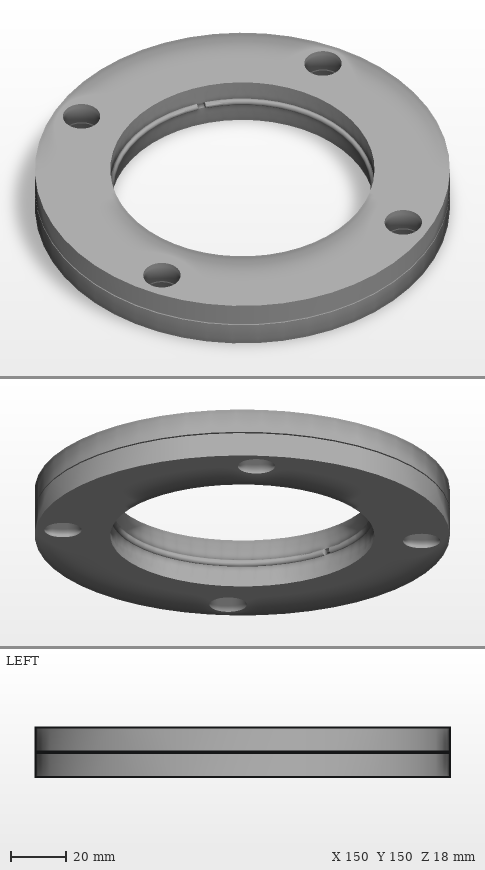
import cadquery as cq

outer_diameter = 150.0
total_height = 18.0
bore_diameter = 95.5
plate_gap = 0.5
bolt_circle_diameter = 130.0
bolt_hole_diameter = 13.5
bolt_hole_count = 4
first_bolt_angle = 45.0
bead_radius = 1.25
bead_ring_diameter = 95.3
bead_slot_width = 3.0

plate_thickness = (total_height - plate_gap) / 2
bore_radius = bore_diameter / 2
bead_ring_radius = bead_ring_diameter / 2


def flange_plate(bottom_z):
    """Flat ring with its bolt holes, its underside at the given height."""
    return (
        cq.Workplane("XY", origin=(0, 0, bottom_z))
        .circle(outer_diameter / 2)
        .circle(bore_radius)
        .polarArray(bolt_circle_diameter / 2, first_bolt_angle, 360, bolt_hole_count)
        .circle(bolt_hole_diameter / 2)
        .extrude(plate_thickness)
    )


def full_bead():
    """Round bead at mid height, its section centred just inside the bore wall."""
    axis_start = (-bead_ring_radius, 0)
    axis_end = (-bead_ring_radius, 1)
    return (
        cq.Workplane("XZ")
        .center(bead_ring_radius, 0)
        .circle(bead_radius)
        .revolve(360, axis_start, axis_end)
    )


def bead_slots():
    """Bar along X that splits the bead and leaves its seat open at both ends."""
    bar_length = 2 * (bead_ring_radius + bead_radius)
    return cq.Workplane("XY").box(bar_length, bead_slot_width, 2 * bead_radius)


lower_plate = flange_plate(-total_height / 2)
upper_plate = flange_plate(plate_gap / 2)

bead = full_bead()
seated_plates = lower_plate.union(upper_plate).cut(bead)
result = seated_plates.union(bead.cut(bead_slots()))